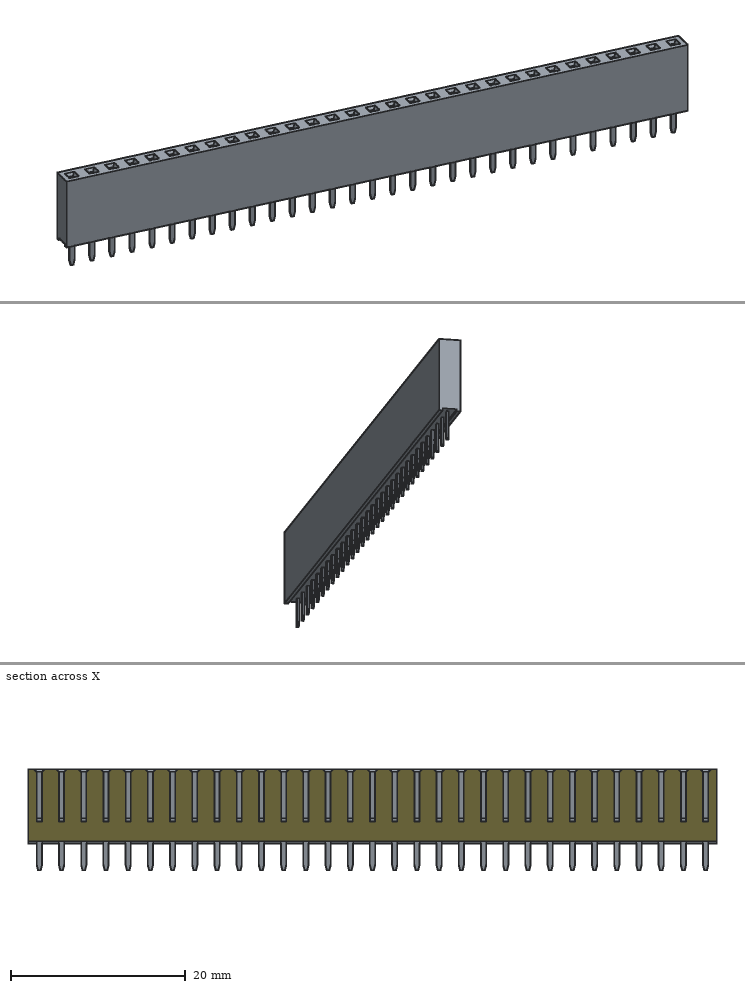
import cadquery as cq

position_count = 31
strip_length = 78.75
pitch = strip_length / position_count
body_width = 2.5
total_height = 11.6
body_height = 8.5

groove_width = 1.65
groove_depth = 0.2

socket_size = 0.55
socket_depth = 6.0
mouth_depth = 0.32
mouth_size = socket_size + 2 * mouth_depth

pin_width = 0.6
pin_thickness = 0.2
tip_width = 0.3
tip_height = 0.6
pin_rise_above_floor = 0.4

pin_bottom = body_height - total_height
pin_top = body_height - socket_depth + pin_rise_above_floor
row = [(0, (index - (position_count - 1) / 2) * pitch) for index in range(position_count)]


def repeat_along_row(shape):
    """Copy a single shape, centred on the Z axis, to every position of the row."""
    return cq.Workplane("XY").pushPoints(row).eachpoint(shape.val(), True)


def make_body():
    body = cq.Workplane("XY").box(body_width, strip_length, body_height, centered=(True, True, False))
    groove = cq.Workplane("XY").box(groove_width, strip_length, groove_depth, centered=(True, True, False))
    return body.cut(groove)


def make_socket():
    mouth = (
        cq.Workplane("XY", origin=(0, 0, body_height))
        .rect(mouth_size, mouth_size)
        .workplane(offset=-mouth_depth)
        .rect(socket_size, socket_size)
        .loft()
    )
    hole = (
        cq.Workplane("XY", origin=(0, 0, body_height - mouth_depth))
        .rect(socket_size, socket_size)
        .extrude(mouth_depth - socket_depth)
    )
    return mouth.union(hole)


def make_pin():
    tip_top = pin_bottom + tip_height
    outline = [
        (-pin_width / 2, pin_top),
        (-pin_width / 2, tip_top),
        (-tip_width / 2, pin_bottom),
        (tip_width / 2, pin_bottom),
        (pin_width / 2, tip_top),
        (pin_width / 2, pin_top),
    ]
    return cq.Workplane("YZ").polyline(outline).close().extrude(pin_thickness / 2, both=True)


result = make_body().cut(repeat_along_row(make_socket())).union(repeat_along_row(make_pin()))